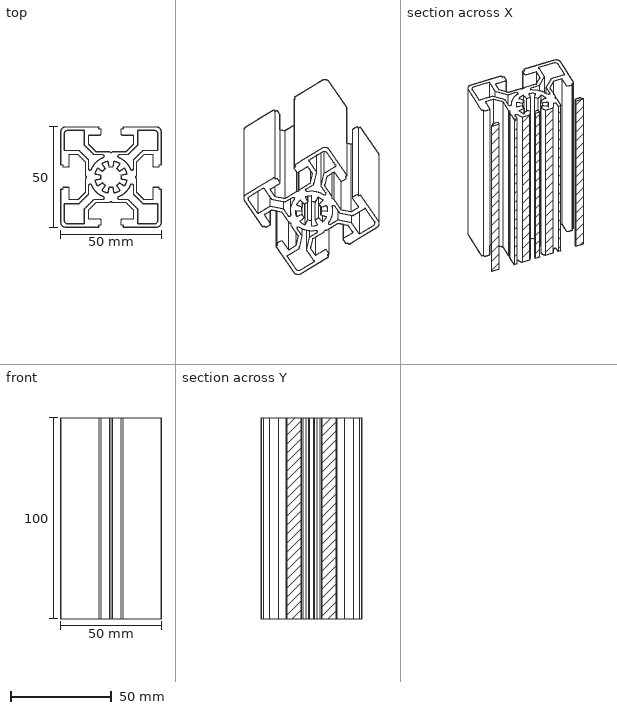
import cadquery as cq
import math

SIDE = 50.0
LENGTH = 100.0
HALF_SIDE = SIDE / 2
CORNER_RADIUS = 2.5

RECESS_HALF_WIDTH = 6.0
RECESS_DEPTH = 1.1
MOUTH_HALF_WIDTH = 4.95
LIP_THICKNESS = 4.25
LIP_FILLET = 0.7
EDGE_FILLET = 0.3
SLOT_HALF_WIDTH = 11.1
FLOOR_DISTANCE = 12.7
FLOOR_HALF_WIDTH = 7.5
NOTCH_HALF_WIDTH = 0.8
NOTCH_DEPTH = 0.5

OUTER_WALL = 1.85
SLOT_WALL = 2.2
FLOOR_WALL = 1.6
DIAGONAL_WALL = 1.85
CHAMBER_CORNER_RADIUS = 1.5
CHAMBER_TIP_RADIUS = 0.7

CORE_RADIUS = 10.5
BORE_ROOT_RADIUS = 8.0
BORE_TIP_RADIUS = 5.0
TOOTH_COUNT = 8
TOOTH_TIP_HALF_WIDTH = 1.0
TOOTH_ROOT_HALF_WIDTH = 1.55

QUARTER_TURNS = [90 * i for i in range(4)]
AXIS_START = (0, 0, 0)
AXIS_END = (0, 0, 1)


def polar(radius, angle):
    """Point at a radius and an angle in radians."""
    return (radius * math.cos(angle), radius * math.sin(angle))


def mirror_diagonal(point):
    """Reflect a point in the line y = x."""
    return (point[1], point[0])


def fillet_upright_edge(body, x, y, radius):
    """Round the edge of a prism that runs along Z through (x, y)."""
    edge = cq.selectors.NearestToPointSelector((x, y, LENGTH / 2))
    return body.edges(edge).fillet(radius)


def make_block():
    block = cq.Workplane("XY").rect(SIDE, SIDE).extrude(LENGTH)
    return block.edges("|Z").fillet(CORNER_RADIUS)


def make_slot():
    """T-slot void on the +Y side."""
    recess_bottom = HALF_SIDE - RECESS_DEPTH
    lip_bottom = HALF_SIDE - LIP_THICKNESS
    bevel_top = FLOOR_DISTANCE + SLOT_HALF_WIDTH - FLOOR_HALF_WIDTH
    right_side = [
        (NOTCH_HALF_WIDTH, FLOOR_DISTANCE),
        (FLOOR_HALF_WIDTH, FLOOR_DISTANCE),
        (SLOT_HALF_WIDTH, bevel_top),
        (SLOT_HALF_WIDTH, lip_bottom),
        (MOUTH_HALF_WIDTH, lip_bottom),
        (MOUTH_HALF_WIDTH, recess_bottom),
        (RECESS_HALF_WIDTH, recess_bottom),
        (RECESS_HALF_WIDTH, HALF_SIDE),
    ]
    left_side = [(-x, y) for x, y in reversed(right_side)]
    notch_bottom = (0, FLOOR_DISTANCE - NOTCH_DEPTH)
    outline = [notch_bottom] + right_side + left_side
    slot = cq.Workplane("XY").polyline(outline).close().extrude(LENGTH)
    for side in (-1, 1):
        slot = fillet_upright_edge(slot, side * MOUTH_HALF_WIDTH, lip_bottom, LIP_FILLET)
        slot = fillet_upright_edge(slot, side * MOUTH_HALF_WIDTH, recess_bottom, EDGE_FILLET)
    return slot


def make_chamber():
    """Corner void in the +X +Y quadrant, symmetric about y = x."""
    outer = HALF_SIDE - OUTER_WALL
    inner = SLOT_HALF_WIDTH + SLOT_WALL
    floor = FLOOR_DISTANCE - FLOOR_WALL

    bevel_offset = FLOOR_DISTANCE - FLOOR_HALF_WIDTH
    throat_offset = bevel_offset - DIAGONAL_WALL * math.sqrt(2)

    tip_y = floor - CHAMBER_TIP_RADIUS
    tip_x = math.sqrt((CORE_RADIUS + CHAMBER_TIP_RADIUS) ** 2 - tip_y ** 2)
    core_angle = math.atan2(tip_y, tip_x)
    tip_start = (tip_x, floor)
    middle_angle = (math.pi / 2 + math.pi + core_angle) / 2
    middle_dx, middle_dy = polar(CHAMBER_TIP_RADIUS, middle_angle)
    tip_middle = (tip_x + middle_dx, tip_y + middle_dy)
    tip_end = polar(CORE_RADIUS, core_angle)
    core_middle = polar(CORE_RADIUS, math.pi / 4)

    chamber = (
        cq.Workplane("XY")
        .moveTo(outer, outer)
        .lineTo(inner, outer)
        .lineTo(inner, inner + throat_offset)
        .lineTo(floor - throat_offset, floor)
        .lineTo(*tip_start)
        .threePointArc(tip_middle, tip_end)
        .threePointArc(core_middle, mirror_diagonal(tip_end))
        .threePointArc(mirror_diagonal(tip_middle), mirror_diagonal(tip_start))
        .lineTo(floor, floor - throat_offset)
        .lineTo(inner + throat_offset, inner)
        .lineTo(outer, inner)
        .close()
        .extrude(LENGTH)
    )
    return fillet_upright_edge(chamber, outer, outer, CHAMBER_CORNER_RADIUS)


def make_bore():
    """Central void whose tapered teeth point at the axis."""
    pitch = 2 * math.pi / TOOTH_COUNT
    tip_angle = math.asin(TOOTH_TIP_HALF_WIDTH / BORE_TIP_RADIUS)
    root_angle = math.asin(TOOTH_ROOT_HALF_WIDTH / BORE_ROOT_RADIUS)
    bore = cq.Workplane("XY").moveTo(*polar(BORE_TIP_RADIUS, -tip_angle))
    for tooth in range(TOOTH_COUNT):
        centre = tooth * pitch
        following = centre + pitch
        bore = (
            bore
            .threePointArc(polar(BORE_TIP_RADIUS, centre), polar(BORE_TIP_RADIUS, centre + tip_angle))
            .lineTo(*polar(BORE_ROOT_RADIUS, centre + root_angle))
            .threePointArc(
                polar(BORE_ROOT_RADIUS, centre + pitch / 2),
                polar(BORE_ROOT_RADIUS, following - root_angle),
            )
            .lineTo(*polar(BORE_TIP_RADIUS, following - tip_angle))
        )
    return bore.close().extrude(LENGTH)


def round_recess_edges(body):
    """Round the outside edges of the recess on all four sides."""
    for side in (-1, 1):
        for face in (-1, 1):
            x = side * RECESS_HALF_WIDTH
            y = face * HALF_SIDE
            body = fillet_upright_edge(body, x, y, EDGE_FILLET)
            body = fillet_upright_edge(body, y, x, EDGE_FILLET)
    return body


slot = make_slot()
chamber = make_chamber()
result = make_block().cut(make_bore())
for turn in QUARTER_TURNS:
    result = result.cut(slot.rotate(AXIS_START, AXIS_END, turn))
    result = result.cut(chamber.rotate(AXIS_START, AXIS_END, turn))
result = round_recess_edges(result)